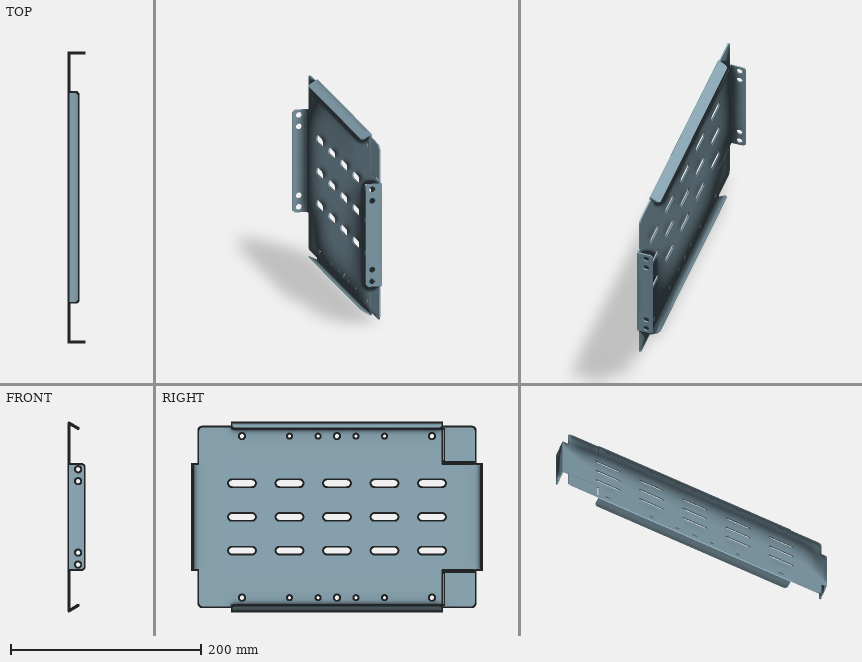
import cadquery as cq

depth = 17.5
length = 305.5
sheet_height = 196.5
thickness = 1.5

corner_panel_length = 292.0
corner_panel_height = 190.3
corner_radius = 5.0

end_flange_height = 111.8
flange_chamfer = 2.5
end_hole_x = 10.5
end_hole_offsets = (37.5, 50.0)

long_flange_length = 221.8
long_flange_width = 12.2
long_flange_slope = 30.0

outer_hole_y = 100.0
hole_pitch = outer_hole_y / 2
hole_row_z = 85.0
large_hole_diameter = 6.5
small_hole_diameter = 5.2
inner_hole_y = 20.0
slot_length = 29.0
slot_height = 8.0
slot_row_pitch = 35.5
slot_columns = 5
slot_rows = 3

slit_width = 1.8
slit_length = 33.3
slit_corner_gap = 2.7


def plate():
    """Flat sheet: corner panels crossed by the two flanged bands."""
    panels = (
        cq.Workplane("YZ")
        .rect(corner_panel_length, corner_panel_height)
        .extrude(thickness)
        .edges("|X")
        .fillet(corner_radius)
    )
    end_band = cq.Workplane("YZ").rect(length, end_flange_height).extrude(thickness)
    long_band = cq.Workplane("YZ").rect(long_flange_length, sheet_height).extrude(thickness)
    return panels.union(end_band).union(long_band)


def end_flange():
    """Flange at the -Y end with chamfered outer corners and four holes."""
    flange = (
        cq.Workplane("XY")
        .box(depth, thickness, end_flange_height, centered=(False, False, True))
        .translate((0, -length / 2, 0))
        .edges("|Y and >X")
        .chamfer(flange_chamfer)
    )
    hole_points = [(end_hole_x, side * z) for z in end_hole_offsets for side in (-1, 1)]
    holes = (
        cq.Workplane("XZ", origin=(0, -length / 2 + thickness, 0))
        .pushPoints(hole_points)
        .circle(large_hole_diameter / 2)
        .extrude(thickness)
    )
    return flange.cut(holes)


def long_flange():
    """Sloping flange along the top edge with chamfered outer corners."""
    return (
        cq.Workplane("XY")
        .box(long_flange_width, long_flange_length, thickness, centered=(False, True, False))
        .edges("|Z and >X")
        .chamfer(flange_chamfer)
        .rotate((0, 0, 0), (0, 1, 0), long_flange_slope)
        .translate((0, 0, sheet_height / 2))
    )


def both_sides(body, plane):
    """Join a body with its mirror image."""
    return body.union(body.mirror(plane))


def through_holes(points, diameter):
    return cq.Workplane("YZ").pushPoints(points).circle(diameter / 2).extrude(thickness)


def plate_openings():
    """Two rows of round holes and a grid of horizontal slots."""
    large_y = (-outer_hole_y, 0, outer_hole_y)
    small_y = (-hole_pitch, -inner_hole_y, inner_hole_y, hole_pitch)
    rows = (-hole_row_z, hole_row_z)
    large_holes = through_holes([(y, z) for y in large_y for z in rows], large_hole_diameter)
    small_holes = through_holes([(y, z) for y in small_y for z in rows], small_hole_diameter)
    slots = (
        cq.Workplane("YZ")
        .rarray(hole_pitch, slot_row_pitch, slot_columns, slot_rows)
        .slot2D(slot_length, slot_height)
        .extrude(thickness)
    )
    return large_holes.union(small_holes).union(slots)


def relief_slits():
    """Slits along the inner edges of the upper +Y corner panel."""
    inner_y = long_flange_length / 2
    flat_slit = cq.Workplane("XY").box(thickness, slit_length, slit_width, centered=False)
    upright_slit = cq.Workplane("XY").box(thickness, slit_width, slit_length, centered=False)
    upright_z = corner_panel_height / 2 - slit_corner_gap - slit_length
    flat_slit = flat_slit.translate((0, inner_y, end_flange_height / 2))
    upright_slit = upright_slit.translate((0, inner_y, upright_z))
    return flat_slit.union(upright_slit)


result = (
    plate()
    .union(both_sides(end_flange(), "XZ"))
    .union(both_sides(long_flange(), "XY"))
    .cut(plate_openings())
    .cut(both_sides(relief_slits(), "XY"))
)